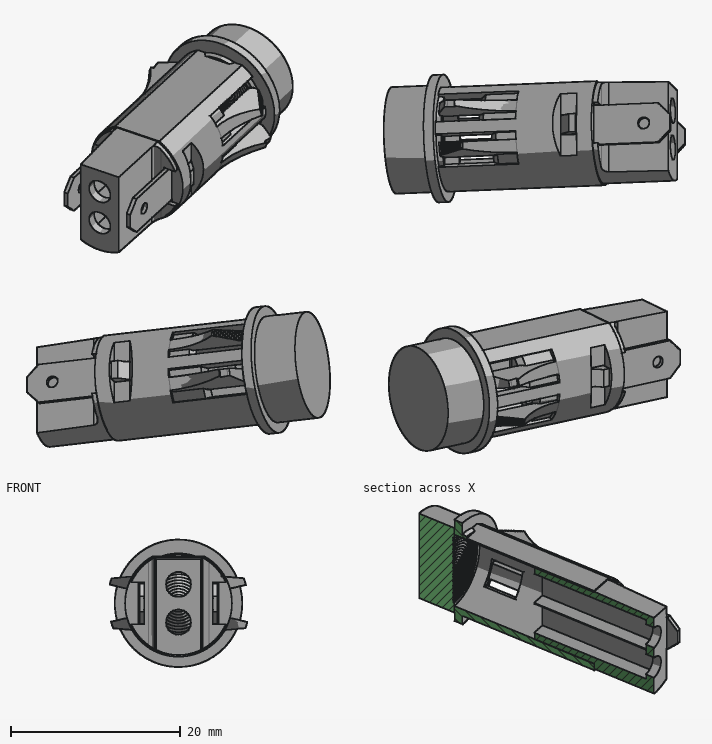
import cadquery as cq
import math


body_radius = 6.32
body_length = 18.85
flange_radius = 7.55
flange_thickness = 1.15
flat_height = 5.55
cavity_radius = 5.25
cavity_flat_x = 4.8
socket_top = 10.25

collar_radius = 5.9
collar_end_radius = 5.78
collar_length = 0.6

window_length = 9.67
window_outer_x = 6.5
window_inner_x = 3.42
window_low_z = (1.0, 0.72)
window_high_z = (3.8, 5.47)

ledge_radius = 5.9
ledge_start_smooth = 5.05
ledge_start_toothed = 6.55

finger_inner_x = 4.1
finger_outer_x = 8.55
finger_low_z = (1.25, 2.3)
finger_high_z = (3.28, 2.9)
finger_tip_gap = 0.4
finger_start_radius = 6.43
finger_inner_radius = 5.55
finger_chamfer = 0.25

catch_radius = 8.25
catch_depth = 1.45
catch_end_depth = 1.75
notch_radius = 8.1
notch_depth = 2.65
barb_radius = 8.45
smooth_arc_mid = (7.18, 5.25)

tooth_count = 13
tooth_top_radius = 8.27
tooth_end_depth = 3.4
crest_end_depth = 3.62
toothed_arc_mid = (7.05, 5.8)

latch_flat_x = 5.1
notch_top = 14.15
notch_flat_top = 14.87
notch_bottom = 16.85
notch_bottom_outer = 17.02
latch_window_half_width = 1.2

disc_radius = 6.12
disc_thickness = 0.6
block_end = 27.38
block_base_half_width = 2.85
block_end_half_width = 2.63
top_height = 5.45
top_end_height = 5.2
block_fillet = 0.75
latch_half_width = 1.1
latch_tip_x = 6.12
latch_ramp_end = 16.05

hole_radius = 1.47
hole_spacing = 4.45
hole_depth = 1.15
chamber_width = 3.42
chamber_height = 4.25

terminal_inner_x = 4.07
terminal_thickness = 0.5
terminal_half_width = 2.35
terminal_z = -0.07
terminal_top = 17.1
terminal_end = 27.95
terminal_chamfer = 1.45
terminal_hole_radius = 0.7
terminal_hole_depth = 24.78
slot_half_width = 2.45

overall_length = 34.18
lens_length = overall_length - terminal_end - flange_thickness
ring_count = 14
ring_pitch = 0.35
ring_height = 0.2


def cylinder(radius, start_y, end_y):
    """Cylinder on the lamp axis between two Y positions."""
    return cq.Workplane("XZ", origin=(0, end_y, 0)).circle(radius).extrude(end_y - start_y)


def box(x_range, y_range, z_range):
    """Block between the given limits."""
    sizes = [limits[1] - limits[0] for limits in (x_range, y_range, z_range)]
    corner = (x_range[0], y_range[0], z_range[0])
    return cq.Workplane("XY", origin=corner).box(*sizes, centered=False)


def revolve_about_axis(profile):
    """Turn a sketch of radius against Y about the lamp axis."""
    return profile.close().revolve(360, (0, 0, 0), (0, 1, 0))


def half_turn(shape):
    """The same shape on the opposite side of the lamp axis."""
    return shape.rotate((0, 0, 0), (0, 1, 0), 180)


def tapered_bar(inner_x, outer_x, low_z, high_z, start_y, length):
    """Bar along -Y in the +X, +Z quarter whose sides slope in Z."""
    return (
        cq.Workplane("XZ", origin=(0, start_y, 0))
        .moveTo(inner_x, low_z[0])
        .lineTo(outer_x, low_z[1])
        .lineTo(outer_x, high_z[1])
        .lineTo(inner_x, high_z[0])
        .close()
        .extrude(length)
    )


def make_window():
    return tapered_bar(
        window_inner_x, window_outer_x, window_low_z, window_high_z, 0, window_length
    )


def make_ledge(start):
    """Thin cylindrical floor of a window, with a sloped end."""
    rise = ledge_radius - cavity_radius
    ring = revolve_about_axis(
        cq.Workplane("XY")
        .moveTo(cavity_radius, -start)
        .lineTo(ledge_radius, -start - rise)
        .lineTo(ledge_radius, -window_length)
        .lineTo(cavity_radius, -window_length)
    )
    return ring.intersect(make_window())


def start_finger_profile():
    """Inner side and free end, shared by both kinds of finger."""
    return (
        cq.Workplane("XY")
        .moveTo(finger_inner_radius, -window_length)
        .lineTo(finger_inner_radius, -finger_tip_gap - finger_chamfer)
        .lineTo(finger_inner_radius + finger_chamfer, -finger_tip_gap)
        .lineTo(finger_start_radius, -finger_tip_gap)
    )


def finish_finger(profile, arc_mid):
    """Close the profile with the outer curve and trim it to the width of a finger."""
    mid = (arc_mid[0], -arc_mid[1])
    ring = revolve_about_axis(profile.threePointArc(mid, (body_radius, -window_length)))
    sides = tapered_bar(
        finger_inner_x, finger_outer_x, finger_low_z, finger_high_z, 0, window_length
    )
    return ring.intersect(sides)


def make_smooth_finger():
    profile = (
        start_finger_profile()
        .lineTo(catch_radius, -catch_depth)
        .lineTo(catch_radius, -catch_end_depth)
        .lineTo(notch_radius, -notch_depth)
        .lineTo(barb_radius, -notch_depth)
    )
    return finish_finger(profile, smooth_arc_mid)


def make_toothed_finger():
    profile = start_finger_profile()
    tooth_rise = (tooth_top_radius - finger_start_radius) / tooth_count
    tooth_step = (tooth_end_depth - finger_tip_gap) / tooth_count
    for tooth in range(1, tooth_count + 1):
        radius = finger_start_radius + tooth * tooth_rise
        depth = finger_tip_gap + tooth * tooth_step
        profile = profile.lineTo(radius - tooth_rise, -depth).lineTo(radius, -depth)
    profile = profile.lineTo(tooth_top_radius, -crest_end_depth)
    return finish_finger(profile, toothed_arc_mid)


def make_latch_notch():
    """V-shaped bite out of the +X side of the body, across its full height."""
    return (
        cq.Workplane("XY", origin=(0, 0, -body_radius))
        .moveTo(latch_flat_x, -notch_flat_top)
        .lineTo(body_radius, -notch_top)
        .lineTo(body_radius, -notch_bottom_outer)
        .lineTo(latch_flat_x, -notch_bottom)
        .close()
        .extrude(2 * body_radius)
    )


def make_latch_window():
    """Opening from the notch into the cavity for the socket latch."""
    return box(
        (0, latch_flat_x),
        (-notch_bottom, -notch_flat_top),
        (-latch_window_half_width, latch_window_half_width),
    )


def make_barrel():
    """Round bar with two flats: the hidden part of the socket and the recess for it."""
    flats = box(
        (-cavity_flat_x, cavity_flat_x), (-body_length, 0), (-body_radius, body_radius)
    )
    return cylinder(cavity_radius, -body_length, -socket_top).intersect(flats)


def make_housing():
    body = cylinder(body_radius, -body_length, 0)
    below_flat = box(
        (-body_radius, body_radius), (-body_length, 0), (-body_radius, flat_height)
    )
    body = body.intersect(below_flat)

    upper_window = make_window()
    lower_window = upper_window.mirror("XY")
    for cut in (upper_window, lower_window, make_latch_notch(), make_latch_window()):
        body = body.cut(cut).cut(half_turn(cut))

    collar = revolve_about_axis(
        cq.Workplane("XY")
        .lineTo(collar_radius, 0)
        .lineTo(collar_end_radius, -collar_length)
        .lineTo(0, -collar_length)
    )
    body = body.union(collar)
    body = body.union(cylinder(flange_radius, 0, flange_thickness))
    body = body.cut(cylinder(cavity_radius, -socket_top, flange_thickness)).cut(make_barrel())

    toothed_set = (make_ledge(ledge_start_toothed), make_toothed_finger())
    smooth_set = (make_ledge(ledge_start_smooth), make_smooth_finger())
    features = [*toothed_set, *[feature.mirror("XY") for feature in smooth_set]]
    for feature in features:
        body = body.union(feature).union(half_turn(feature))
    return body


def make_end_envelope():
    """Limits of the exposed end: round below, with a gently sloping top."""
    side = (
        cq.Workplane("YZ", origin=(-disc_radius, 0, 0))
        .moveTo(-body_length, -disc_radius)
        .lineTo(-body_length, top_height)
        .lineTo(-block_end, top_end_height)
        .lineTo(-block_end, -disc_radius)
        .close()
        .extrude(2 * disc_radius)
    )
    return side.intersect(cylinder(disc_radius, -block_end, -body_length))


def make_block():
    """Block that narrows toward its end."""
    return (
        cq.Workplane("XY", origin=(0, 0, -disc_radius))
        .moveTo(-block_base_half_width, -body_length)
        .lineTo(block_base_half_width, -body_length)
        .lineTo(block_end_half_width, -block_end)
        .lineTo(-block_end_half_width, -block_end)
        .close()
        .extrude(2 * disc_radius)
    )


def make_block_fillet():
    """Concave fillet between the disc and the +X side of the block."""
    disc_end = body_length + disc_thickness
    corner_x = block_base_half_width
    centre = (corner_x + block_fillet, -disc_end - block_fillet)
    reach = block_fillet * math.sqrt(0.5)
    return (
        cq.Workplane("XY", origin=(0, 0, -disc_radius))
        .moveTo(0, -disc_end)
        .lineTo(centre[0], -disc_end)
        .threePointArc((centre[0] - reach, centre[1] + reach), (corner_x, centre[1]))
        .lineTo(0, centre[1])
        .close()
        .extrude(2 * disc_radius)
    )


def make_latch():
    """Ramped catch that reaches out into the +X latch notch."""
    return (
        cq.Workplane("XY", origin=(0, 0, -latch_half_width))
        .moveTo(cavity_flat_x, -notch_flat_top)
        .lineTo(latch_flat_x, -notch_flat_top)
        .lineTo(latch_tip_x, -latch_ramp_end)
        .lineTo(latch_tip_x, -notch_bottom)
        .lineTo(cavity_flat_x, -notch_bottom)
        .close()
        .extrude(2 * latch_half_width)
    )


def make_socket():
    disc_end = body_length + disc_thickness
    fillet = make_block_fillet()
    end_part = cylinder(disc_radius, -disc_end, -body_length)
    end_part = end_part.union(make_block()).union(fillet).union(fillet.mirror("YZ"))
    end_part = end_part.intersect(make_end_envelope())

    socket = end_part.union(make_barrel())

    slot_z = (-slot_half_width, slot_half_width)
    slot = box((terminal_inner_x, cavity_flat_x), (-block_end, -terminal_top), slot_z)
    side_opening = box((cavity_flat_x, disc_radius), (-block_end, -body_length), slot_z)
    slot = slot.union(side_opening)
    socket = socket.cut(slot).cut(half_turn(slot))
    latch = make_latch()
    socket = socket.union(latch).union(half_turn(latch))

    for z in (-hole_spacing / 2, hole_spacing / 2):
        entry = cylinder(hole_radius, -block_end, -socket_top).translate((0, 0, z))
        chamber = box(
            (-chamber_width / 2, chamber_width / 2),
            (-block_end + hole_depth, -socket_top),
            (z - chamber_height / 2, z + chamber_height / 2),
        )
        socket = socket.cut(entry).cut(chamber)
    return socket


def make_terminal(side):
    """Blade terminal on the +X side (side = 1) or the -X side (side = -1)."""
    blade = box(
        (terminal_inner_x, terminal_inner_x + terminal_thickness),
        (-terminal_end, -terminal_top),
        (terminal_z - terminal_half_width, terminal_z + terminal_half_width),
    )
    blade = blade.edges("|X and <Y").chamfer(terminal_chamfer)
    hole = (
        cq.Workplane("YZ", origin=(0, -terminal_hole_depth, terminal_z))
        .circle(terminal_hole_radius)
        .extrude(flange_radius)
    )
    blade = blade.cut(hole)
    return blade if side > 0 else blade.mirror("YZ")


def make_lens():
    lens = cylinder(body_radius, flange_thickness, flange_thickness + lens_length)
    profile = cq.Workplane("XY").moveTo(0, flange_thickness)
    for ring in range(1, ring_count + 1):
        radius = ring * ring_pitch
        profile = profile.lineTo(radius, flange_thickness + ring_height)
        profile = profile.lineTo(radius, flange_thickness)
    return lens.cut(revolve_about_axis(profile))


lens = make_lens()
housing = make_housing()
socket = make_socket()
terminals = [make_terminal(side) for side in (-1, 1)]

result = cq.Compound.makeCompound(
    [lens.val(), housing.val(), socket.val(), *[terminal.val() for terminal in terminals]]
)